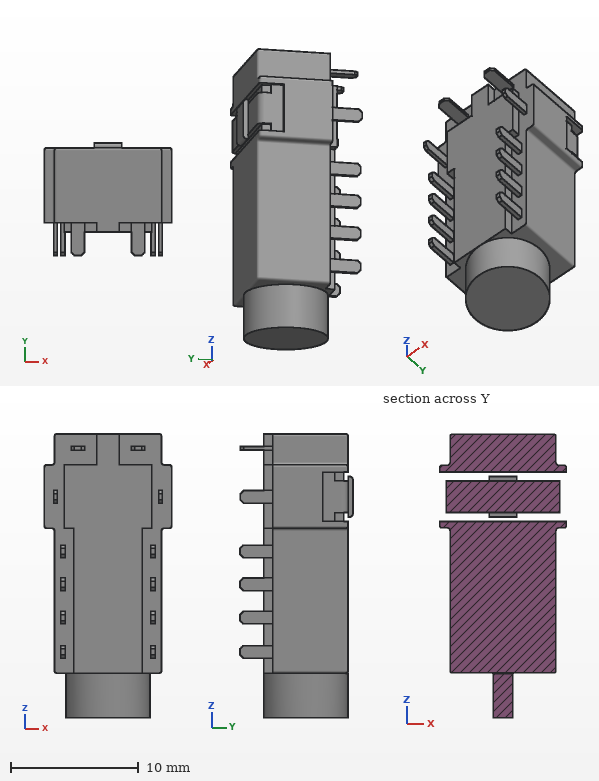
import cadquery as cq

total_height = 22.25
barrel_diameter = 6.6
barrel_length = 3.5

back_y = barrel_diameter / 2
pad_y = -barrel_diameter / 2
base_y = -2.58
housing_width = 8.39
shoulder_width = 10.0
shoulder_bottom = 14.85
shoulder_top = 19.82
edge_radius = 0.2

pad_width = 5.35
pad_wide_width = 6.85
pad_neck_width = 1.74

window_bottom = 15.4
window_top = 19.25
window_front_y = 1.31
clip_thickness = 0.33
clip_half_width = 4.67
clip_bend_radius = 0.51
clip_wide_end_y = 2.27
strap_height = 2.5

catch_width = 2.15
catch_height = 3.2
catch_back_y = 3.7
catch_end_radius = 0.3

pin_width = 1.0
top_pin_width = 1.07
pin_chamfer = 0.27
pin_embed = 0.22
side_pin_heights = (5.16, 7.85, 10.45, 13.04)
side_pin_x = 3.54
side_pin_thickness = 0.35
side_pin_tip_y = -5.16
thin_pin_thickness = 0.3
thin_pin_tip_y = -5.15
shoulder_pin_x = 4.12
shoulder_pin_z = 17.3
top_pin_x = 2.35
top_pin_z = 21.12

window_mid_z = (window_top + window_bottom) / 2


def block(width, y_start, y_end, z_start, z_end):
    """Box centred on X = 0, spanning the given Y and Z ranges."""
    return cq.Workplane("XY").box(
        width, y_end - y_start, z_end - z_start, centered=(True, False, False)
    ).translate((0, y_start, z_start))


def make_housing():
    column = block(housing_width, base_y, back_y, barrel_length, total_height)
    shoulder = block(shoulder_width, base_y, back_y, shoulder_bottom, shoulder_top)
    housing = column.union(shoulder)
    housing = housing.edges("|Y").fillet(edge_radius)
    return housing.faces(">Y").edges().fillet(edge_radius)


def make_pad():
    long_pad = block(pad_width, pad_y, base_y, barrel_length, shoulder_top)
    wide_pad = block(pad_wide_width, pad_y, base_y, shoulder_bottom, shoulder_top)
    neck = block(pad_neck_width, pad_y, base_y, shoulder_top, total_height)
    return long_pad.union(wide_pad).union(neck)


def make_barrel():
    return cq.Workplane("XY").circle(barrel_diameter / 2).extrude(barrel_length)


def make_window():
    return block(shoulder_width, window_front_y, back_y, window_bottom, window_top)


def make_clip():
    """Housing core in the window, wrapped by the clip arms and the narrower strap."""
    clip_width = 2 * clip_half_width
    core_width = clip_width - 2 * clip_thickness
    core_back_y = back_y - clip_thickness
    strap_bottom = window_mid_z - strap_height / 2
    strap_top = window_mid_z + strap_height / 2
    core = block(core_width, window_front_y, core_back_y, window_bottom, window_top)
    arms = block(clip_width, window_front_y, clip_wide_end_y, window_bottom, window_top)
    strap = block(clip_width, window_front_y, back_y, strap_bottom, strap_top)
    strap = strap.edges("|Z and >Y").fillet(clip_bend_radius)
    return core.union(arms).union(strap)


def make_catch():
    catch = block(
        catch_width,
        back_y,
        catch_back_y,
        window_mid_z - catch_height / 2,
        window_mid_z + catch_height / 2,
    )
    return catch.edges("|X and >Y").fillet(catch_end_radius)


def make_pin(width, thickness, tip_y):
    """Flat pin along Y, wide in Z and thin in X, with chamfered tip corners."""
    pin = block(thickness, tip_y, base_y + pin_embed, -width / 2, width / 2)
    return pin.edges("|X and <Y").chamfer(pin_chamfer)


side_pin = make_pin(pin_width, side_pin_thickness, side_pin_tip_y)
shoulder_pin = make_pin(pin_width, thin_pin_thickness, thin_pin_tip_y)
top_pin = make_pin(top_pin_width, thin_pin_thickness, thin_pin_tip_y)
top_pin = top_pin.rotate((0, 0, 0), (0, 1, 0), 90)

result = make_housing().cut(make_window()).union(make_clip()).union(make_catch())
result = result.union(make_pad()).union(make_barrel())
for side in (-1, 1):
    for height in side_pin_heights:
        result = result.union(side_pin.translate((side * side_pin_x, 0, height)))
    result = result.union(shoulder_pin.translate((side * shoulder_pin_x, 0, shoulder_pin_z)))
    result = result.union(top_pin.translate((side * top_pin_x, 0, top_pin_z)))